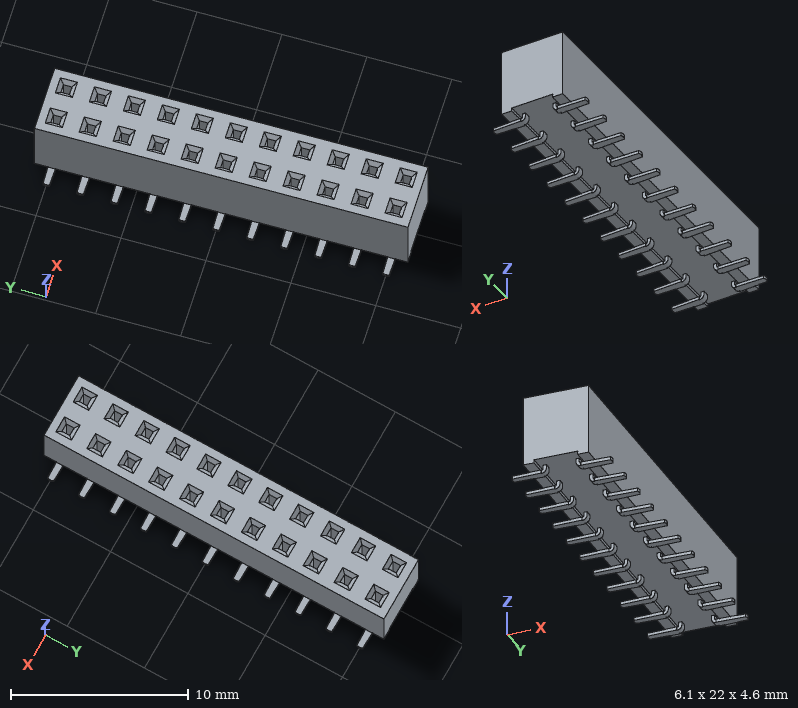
import cadquery as cq

PITCH = 2.0
ROWS = 11
COLUMN_X = PITCH / 2
TOTAL_HEIGHT = 4.6
FOOT_SPAN = 6.1

HOUSING_WIDTH = 2 * PITCH
HOUSING_LENGTH = ROWS * PITCH
HOUSING_BOTTOM = 0.3
LIP_WIDTH = 0.67
CHANNEL_WIDTH = HOUSING_WIDTH - 2 * LIP_WIDTH
CHANNEL_ROOF = 0.5

FUNNEL_MOUTH = 1.0
SOCKET_SIDE = 0.5
FUNNEL_DEPTH = 0.25
SOCKET_FLOOR = 1.5

STRIP_THICKNESS = 0.2
LEG_WIDTH = 0.4
FOOT_ROOT_WIDTH = 0.5
FOOT_TIP_WIDTH = 0.4
TIP_BULGE = 0.05
BEND_INNER_RADIUS = 0.1
BEND_OUTER_RADIUS = BEND_INNER_RADIUS + STRIP_THICKNESS
LEG_RISE_ABOVE_FLOOR = 0.3
LEG_TOP = SOCKET_FLOOR + LEG_RISE_ABOVE_FLOOR

ROW_YS = [(row - (ROWS - 1) / 2) * PITCH for row in range(ROWS)]
SOCKET_CENTRES = [(side * COLUMN_X, y) for side in (-1, 1) for y in ROW_YS]


def make_housing():
    """Rectangular block with a full-length channel between two standing lips."""
    block = cq.Workplane("XY", origin=(0, 0, HOUSING_BOTTOM)).box(
        HOUSING_WIDTH, HOUSING_LENGTH, TOTAL_HEIGHT - HOUSING_BOTTOM, centered=(True, True, False)
    )
    channel = cq.Workplane("XY", origin=(0, 0, HOUSING_BOTTOM)).box(
        CHANNEL_WIDTH, HOUSING_LENGTH, CHANNEL_ROOF - HOUSING_BOTTOM, centered=(True, True, False)
    )
    return block.cut(channel)


def make_socket():
    """Socket cavity on the Z axis: tapered mouth above a straight hole."""
    funnel = (
        cq.Workplane("XY", origin=(0, 0, TOTAL_HEIGHT))
        .rect(FUNNEL_MOUTH, FUNNEL_MOUTH)
        .workplane(offset=-FUNNEL_DEPTH)
        .rect(SOCKET_SIDE, SOCKET_SIDE)
        .loft(ruled=True)
    )
    hole = cq.Workplane("XY", origin=(0, 0, SOCKET_FLOOR)).box(
        SOCKET_SIDE, SOCKET_SIDE, TOTAL_HEIGHT - FUNNEL_DEPTH - SOCKET_FLOOR, centered=(True, True, False)
    )
    return funnel.union(hole)


def make_contact():
    """Contact of the +X column at Y = 0, its foot pointing to +X."""
    leg_inner_x = COLUMN_X - STRIP_THICKNESS / 2
    leg_outer_x = COLUMN_X + STRIP_THICKNESS / 2
    bend_x = leg_outer_x + BEND_INNER_RADIUS
    bent_leg = (
        cq.Workplane("XZ")
        .moveTo(leg_inner_x, LEG_TOP)
        .lineTo(leg_inner_x, BEND_OUTER_RADIUS)
        .radiusArc((bend_x, 0), -BEND_OUTER_RADIUS)
        .lineTo(bend_x, STRIP_THICKNESS)
        .radiusArc((leg_outer_x, BEND_OUTER_RADIUS), BEND_INNER_RADIUS)
        .lineTo(leg_outer_x, LEG_TOP)
        .close()
        .extrude(LEG_WIDTH / 2, both=True)
    )
    tip_x = FOOT_SPAN / 2
    tip_corner_x = tip_x - TIP_BULGE
    foot = (
        cq.Workplane("XY")
        .moveTo(bend_x, -FOOT_ROOT_WIDTH / 2)
        .lineTo(tip_corner_x, -FOOT_TIP_WIDTH / 2)
        .threePointArc((tip_x, 0), (tip_corner_x, FOOT_TIP_WIDTH / 2))
        .lineTo(bend_x, FOOT_ROOT_WIDTH / 2)
        .close()
        .extrude(STRIP_THICKNESS)
    )
    return bent_leg.union(foot)


housing = make_housing()
socket = make_socket()
for x, y in SOCKET_CENTRES:
    housing = housing.cut(socket.translate((x, y, 0)))

right_contact = make_contact()
left_contact = right_contact.mirror("YZ")
result = housing
for y in ROW_YS:
    result = result.union(right_contact.translate((0, y, 0)))
    result = result.union(left_contact.translate((0, y, 0)))